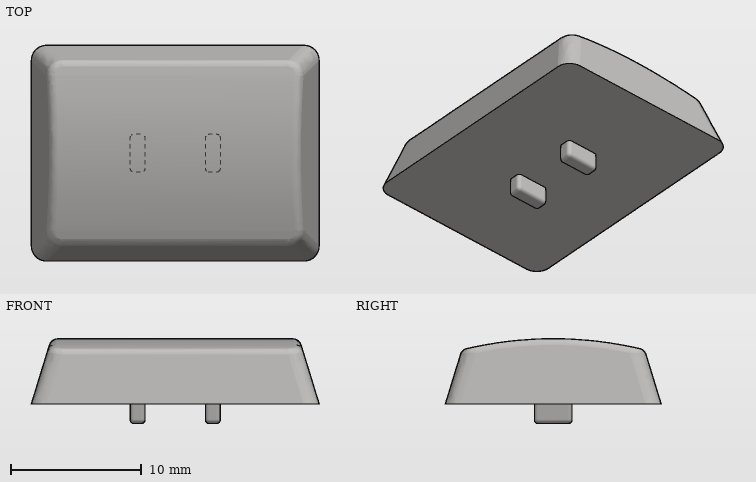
import cadquery as cq
import math

LENGTH = 22.0
WIDTH = 16.5
CROWN_HEIGHT = 5.0
WALL_DRAFT = 17.0
CORNER_RADIUS = 1.25
CROWN_RADIUS = 29.0
TOP_EDGE_RADIUS = 0.7
CROWN_TRIM = 1.0

PEG_SPACING = 5.75
PEG_THICKNESS = 1.15
PEG_WIDTH = 2.9
PEG_HEIGHT = 1.5
PEG_EDGE_RADIUS = 0.3
PEG_OVERLAP = 1.0


def make_tapered_block():
    """Rectangular frustum, taller than the cap, with rounded upright corners."""
    block_height = CROWN_HEIGHT + CROWN_TRIM
    inset = block_height * math.tan(math.radians(WALL_DRAFT))
    block = (
        cq.Workplane("XY")
        .rect(LENGTH, WIDTH)
        .workplane(offset=block_height)
        .rect(LENGTH - 2 * inset, WIDTH - 2 * inset)
        .loft(ruled=True)
    )
    return block.edges("not(#Z)").fillet(CORNER_RADIUS)


def make_cap():
    """Block trimmed by a cylinder along X, with the rim of the crown rounded."""
    crown = (
        cq.Workplane("YZ")
        .center(0, CROWN_HEIGHT - CROWN_RADIUS)
        .circle(CROWN_RADIUS)
        .extrude(LENGTH / 2, both=True)
    )
    cap = make_tapered_block().intersect(crown)
    return cap.faces(">Z").edges().fillet(TOP_EDGE_RADIUS)


def make_peg(x_center):
    """Rounded rectangular peg with a rounded tip, hanging below the cap."""
    return (
        cq.Workplane("XY")
        .box(PEG_THICKNESS, PEG_WIDTH, PEG_HEIGHT + PEG_OVERLAP, centered=(True, True, False))
        .edges("|Z or <Z")
        .fillet(PEG_EDGE_RADIUS)
        .translate((x_center, 0, -PEG_HEIGHT))
    )


result = make_cap()
for side in (-1, 1):
    result = result.union(make_peg(side * PEG_SPACING / 2))